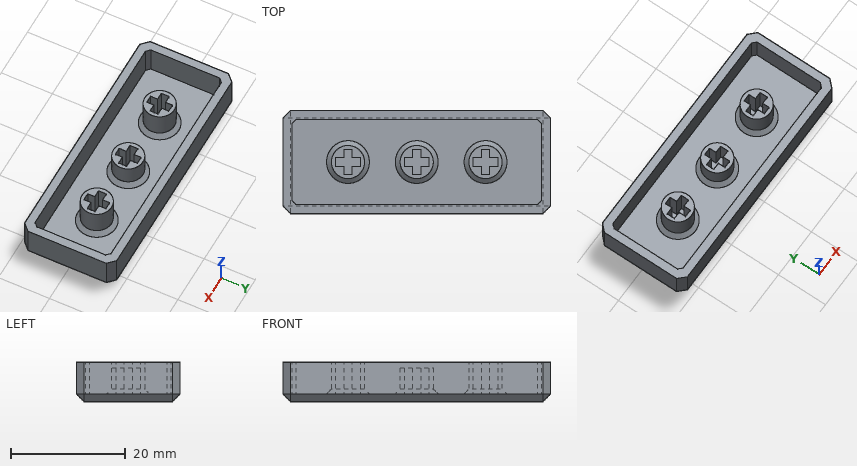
import cadquery as cq

length = 46.6
width = 18.05
height = 6.9
edge_chamfer = 1.35

wall = 1.6
floor_thickness = 1.4
pocket_corner = 0.7

stem_pitch = 12.0
stem_diameter = 5.8
middle_stem_drop = 1.0
flare = 0.85
stems = (
    (-stem_pitch, height),
    (0, height - middle_stem_drop),
    (stem_pitch, height),
)

cross_span = 4.3
cross_x_arm_width = 1.55
cross_y_arm_width = 1.45


def make_tray():
    """Chamfered block, hollowed out from above."""
    block = cq.Workplane("XY").box(length, width, height, centered=(True, True, False))
    block = block.edges("|Z or <Z").chamfer(edge_chamfer)
    pocket = (
        cq.Workplane("XY")
        .workplane(offset=floor_thickness)
        .rect(length - 2 * wall, width - 2 * wall)
        .extrude(height - floor_thickness)
        .edges("|Z")
        .chamfer(pocket_corner)
    )
    return block.cut(pocket)


def make_stem(x, stem_top):
    """Round post with a conical flare at its foot."""
    radius = stem_diameter / 2
    profile = [
        (0, 0),
        (radius + flare, 0),
        (radius, flare),
        (radius, stem_top - floor_thickness),
        (0, stem_top - floor_thickness),
    ]
    post = cq.Workplane("XZ").polyline(profile).close().revolve(360, (0, 0, 0), (0, 1, 0))
    return post.translate((x, 0, floor_thickness))


def make_socket(x, stem_top):
    """Cross-shaped cutter reaching down from the stem top to the tray floor."""
    cross_depth = stem_top - floor_thickness
    top = cq.Workplane("XY").workplane(offset=stem_top)
    x_arm = top.rect(cross_span, cross_x_arm_width).extrude(-cross_depth)
    y_arm = top.rect(cross_y_arm_width, cross_span).extrude(-cross_depth)
    return x_arm.union(y_arm).translate((x, 0, 0))


result = make_tray()
for stem_x, top_z in stems:
    result = result.union(make_stem(stem_x, top_z)).cut(make_socket(stem_x, top_z))